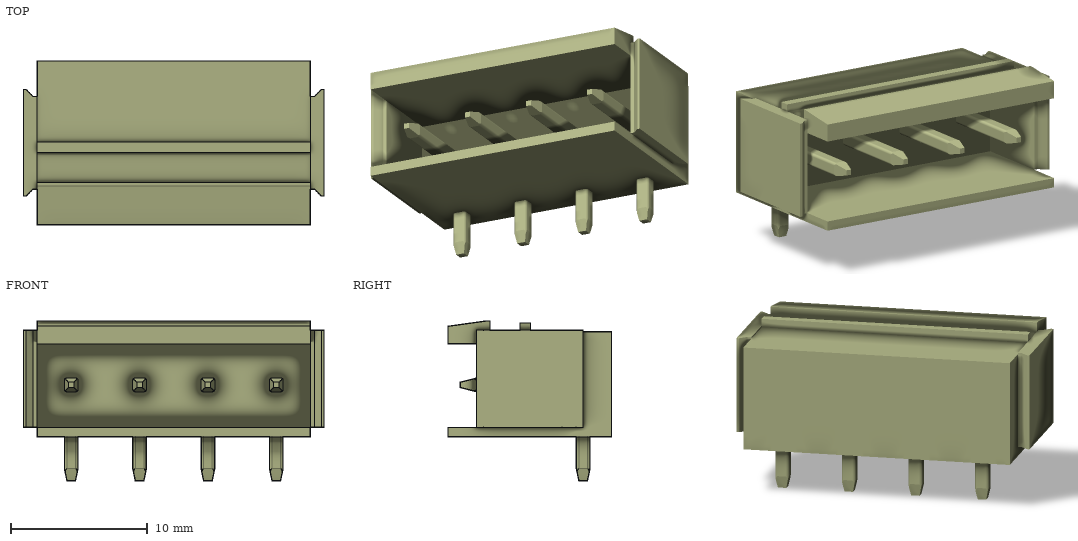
import cadquery as cq
import math


HOUSING_WIDTH = 20.0
HOUSING_DEPTH = 12.0
FLOOR_THICKNESS = 0.7
ROOF_TOP = 7.7
ROOF_UNDERSIDE = 6.8
CAVITY_DEPTH = 8.35

WEDGE_DEPTH = 3.1
WEDGE_FLAT = 0.26
WEDGE_TOP = 8.5
WEDGE_FRONT_TOP = 8.1

RIB_FRONT = 5.28
RIB_WIDTH = 0.77
RIB_TOP = 8.34
RIB_FILLET = 0.1

OVERALL_WIDTH = 22.0
DOVETAIL_TOP = 7.8
DOVETAIL_LENGTH = 7.8
DOVETAIL_RIM = 0.2
DOVETAIL_FLARE = 0.5

PIN_COUNT = 4
PIN_PITCH = HOUSING_WIDTH / PIN_COUNT
PIN_SIZE = 1.01
PIN_EDGE_RADIUS = 0.2
PIN_HEIGHT = 3.8
LEG_Y = 9.9
LEG_DROP = 3.21
LEG_TIP_LENGTH = 0.9
LEG_TIP_SIZE = 0.64
CONTACT_END_Y = 0.9
CONTACT_TIP_LENGTH = 1.2
CONTACT_TIP_SIZE = 0.4


def make_shell():
    """C-shaped shell with its wedge and rib, extruded along the row of pins."""
    rib_back = RIB_FRONT + RIB_WIDTH
    return (
        cq.Workplane("YZ")
        .moveTo(0, 0)
        .lineTo(HOUSING_DEPTH, 0)
        .lineTo(HOUSING_DEPTH, ROOF_TOP)
        .lineTo(rib_back, ROOF_TOP)
        .lineTo(rib_back, RIB_TOP)
        .lineTo(RIB_FRONT, RIB_TOP)
        .lineTo(RIB_FRONT, ROOF_TOP + RIB_FILLET)
        .tangentArcPoint((-RIB_FILLET, -RIB_FILLET))
        .lineTo(WEDGE_DEPTH, ROOF_TOP)
        .lineTo(WEDGE_DEPTH, WEDGE_TOP)
        .lineTo(WEDGE_DEPTH - WEDGE_FLAT, WEDGE_TOP)
        .lineTo(0, WEDGE_FRONT_TOP)
        .lineTo(0, ROOF_UNDERSIDE)
        .lineTo(CAVITY_DEPTH, ROOF_UNDERSIDE)
        .lineTo(CAVITY_DEPTH, FLOOR_THICKNESS)
        .lineTo(0, FLOOR_THICKNESS)
        .close()
        .extrude(HOUSING_WIDTH / 2, both=True)
    )


def make_dovetail(side):
    """End wall, flared at 45 degrees towards its outer rim; side is -1 or +1."""
    inner_x = HOUSING_WIDTH / 2
    outer_x = OVERALL_WIDTH / 2
    rim_x = outer_x - DOVETAIL_RIM
    neck_x = rim_x - DOVETAIL_FLARE
    rim_front = (HOUSING_DEPTH - DOVETAIL_LENGTH) / 2
    rim_back = rim_front + DOVETAIL_LENGTH
    neck_front = rim_front + DOVETAIL_FLARE
    neck_back = rim_back - DOVETAIL_FLARE
    outline = [
        (side * inner_x, neck_front),
        (side * neck_x, neck_front),
        (side * rim_x, rim_front),
        (side * outer_x, rim_front),
        (side * outer_x, rim_back),
        (side * rim_x, rim_back),
        (side * neck_x, neck_back),
        (side * inner_x, neck_back),
    ]
    return (
        cq.Workplane("XY", origin=(0, 0, FLOOR_THICKNESS))
        .polyline(outline)
        .close()
        .extrude(DOVETAIL_TOP - FLOOR_THICKNESS)
    )


def make_bar(length):
    """Square bar with rounded long edges, standing on the XY plane."""
    return cq.Workplane("XY").rect(PIN_SIZE, PIN_SIZE).extrude(length).edges("|Z").fillet(PIN_EDGE_RADIUS)


def make_tapered_bar(length, tip_length, tip_size):
    """Rounded bar from the origin up +Z whose last stretch tapers on all four sides."""
    shank_length = length - tip_length
    taper = math.degrees(math.atan((PIN_SIZE - tip_size) / 2 / tip_length))
    envelope = (
        cq.Workplane("XY")
        .rect(PIN_SIZE, PIN_SIZE)
        .extrude(shank_length)
        .faces(">Z")
        .workplane()
        .rect(PIN_SIZE, PIN_SIZE)
        .extrude(tip_length, taper=taper)
    )
    return make_bar(length).intersect(envelope)


def make_pin(x):
    """Right-angle pin: a contact reaching into the cavity and a leg down through the floor."""
    overlap = PIN_SIZE / 2
    contact = make_tapered_bar(LEG_Y + overlap - CONTACT_END_Y, CONTACT_TIP_LENGTH, CONTACT_TIP_SIZE)
    contact = contact.rotate((0, 0, 0), (1, 0, 0), 90).translate((x, LEG_Y + overlap, PIN_HEIGHT))
    leg = make_tapered_bar(PIN_HEIGHT + overlap + LEG_DROP, LEG_TIP_LENGTH, LEG_TIP_SIZE)
    leg = leg.rotate((0, 0, 0), (1, 0, 0), 180).translate((x, LEG_Y, PIN_HEIGHT + overlap))
    return contact.union(leg)


pins = []
for index in range(PIN_COUNT):
    pins.append(make_pin((index - (PIN_COUNT - 1) / 2) * PIN_PITCH))

housing = make_shell()
for side in (-1, 1):
    housing = housing.union(make_dovetail(side))
for pin in pins:
    housing = housing.cut(pin)

result = cq.Compound.makeCompound([housing.val(), *[pin.val() for pin in pins]])